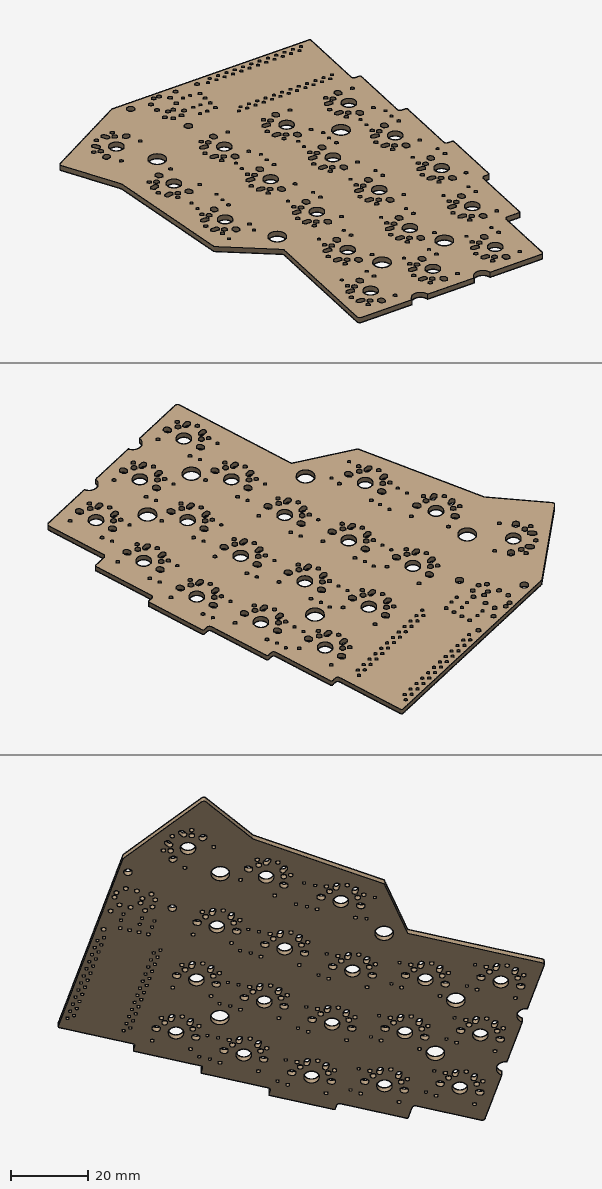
import cadquery as cq
import math

PLATE_LENGTH = 114.8
PLATE_WIDTH = 92.1
PLATE_THICKNESS = 1.6
CORNER_RADIUS = 0.8
SMALL_CORNER_RADIUS = 0.3

KEY_PITCH = 18.9
ROW_COUNT = 3
FIRST_COLUMN_X = 29.8
TOP_MARGIN = 9.1
STEP_MARGIN = 9.0
SHOULDER_DROP = 7.1
COLUMN_STEPS_DOWN = [2, 1, 0, 1, 3]
LOWEST_STEP = max(COLUMN_STEPS_DOWN)
STAGGER = SHOULDER_DROP / LOWEST_STEP
THUMB_KEYS = [(15.1, 16.8, -60), (37.3, 20.5, 15), (58.2, 23.2, 0)]

LOWER_EDGE_Y = 28.8
LOWER_EDGE_START_X = 77.8
THUMB_EDGE_RIGHT = (67.2, 14.2)
THUMB_EDGE_LEFT_X = 30.4
TIP_X = 14.5
TIP_ANGLE = 30

STEM_DIAMETER = 4.0
PEG_INNER = 4.2
PEG_OUTER = 6.4
PEG_WIDTH = 1.8
LATCH_DIAMETER = 1.0
LATCH_POSITION = (5.2, 4.2)
PIN_DIAMETER = 1.1
CENTRE_PIN_Y = -5.9
SIDE_PIN_POSITION = (5.0, -3.9)
UPPER_PIN_DIAMETER = 1.5
UPPER_PIN_POSITION = (3.8, -2.5)
LEAD_SLOT_LENGTH = 2.4
LEAD_SLOT_WIDTH = 1.5
LEAD_SLOT_POSITION = (2.5, -4.6)

LEAD_DIAMETER = 0.81
DIODE_SPAN = 7.6
DIODE_OFFSET = 8.0
THUMB_DIODES = [(47.3, 23.5), (50.3, 23.5), (66.2, 23.2)]

HEADER_PINS = 12
HEADER_PITCH = 2.5
HEADER_TOP_Y = 81.4
HEADER_COLUMNS_X = [1.5, 16.6]
INTERLEAVE_SHIFT = 1.4

DISPLAY_DIAMETER = 1.0
DISPLAY_START = (6.0, 47.9)
DISPLAY_PINS = 4
RESET_COLUMNS_X = [5.4, 10.4, 13.8]
RESET_ROWS_Y = [45.2, 43.0]
JACK_DIAMETER = 1.3
JACK_COLUMNS_X = [3.5, 6.5, 10.4]
JACK_ROWS_Y = [40.3, 34.4]
JACK_SIDE_PINS = [(11.9, 38.5), (11.9, 36.0), (1.6, 38.1), (1.6, 36.5), (8.6, 38.1), (8.6, 36.5)]
BATTERY_PINS = [(2.0, 49.5), (2.0, 42.9)]
LOCATOR_DIAMETER = 2.2
LOCATORS = [(17.0, 37.5), (2.5, 28.9)]

MOUNT_DIAMETER = 4.8
LEFT_MOUNTS = [(39.2, 70.1), (72.0, 30.5), (25.6, 22.7)]
SIDE_MOUNT_X = 96.2
SIDE_MOUNT_TOP_Y = 66.3

SIDES = (-1, 1)


def column_x(column):
    return FIRST_COLUMN_X + column * KEY_PITCH


def round_corners(plate, corners, radius):
    """Round the upright edges that stand on the given corner points."""
    for x, y in corners:
        middle = (x, y, PLATE_THICKNESS / 2)
        plate = plate.edges("|Z").edges(cq.selectors.NearestToPointSelector(middle)).fillet(radius)
    return plate


def make_plate():
    """Plate with a stepped top edge and a pointed thumb area."""
    def left_of(column):
        return column_x(column) - STEP_MARGIN

    def right_of(column):
        return column_x(column) + STEP_MARGIN

    def level(steps_down):
        return PLATE_WIDTH - steps_down * STAGGER

    slope = math.radians(TIP_ANGLE)
    tip_y = CORNER_RADIUS * (1 - math.cos(slope) - math.sin(slope))
    thumb_edge_left_y = tip_y + (THUMB_EDGE_LEFT_X - TIP_X) * math.tan(slope)
    left_edge_bottom_y = tip_y + TIP_X / math.tan(slope)
    inner_corners = [
        (left_of(0), level(LOWEST_STEP)),
        (left_of(1), level(2)),
        (left_of(2), level(1)),
        (right_of(2), level(1)),
        (right_of(3), level(LOWEST_STEP)),
    ]
    right_corners = [(PLATE_LENGTH, level(LOWEST_STEP)), (PLATE_LENGTH, LOWER_EDGE_Y)]
    tip = (TIP_X, tip_y)
    outline = [
        (0, level(LOWEST_STEP)),
        inner_corners[0],
        (left_of(0), level(2)),
        inner_corners[1],
        (left_of(1), level(1)),
        inner_corners[2],
        (left_of(2), level(0)),
        (right_of(2), level(0)),
        inner_corners[3],
        (right_of(3), level(1)),
        inner_corners[4],
        *right_corners,
        (LOWER_EDGE_START_X, LOWER_EDGE_Y),
        THUMB_EDGE_RIGHT,
        (THUMB_EDGE_LEFT_X, thumb_edge_left_y),
        tip,
        (0, left_edge_bottom_y),
    ]
    wide_corners = inner_corners + right_corners + [tip]
    small_corners = [corner for corner in outline if corner not in wide_corners]
    plate = cq.Workplane("XY").polyline(outline).close().extrude(PLATE_THICKNESS)
    plate = round_corners(plate, wide_corners, CORNER_RADIUS)
    return round_corners(plate, small_corners, SMALL_CORNER_RADIUS)


def key_y(column, row):
    top_key_y = PLATE_WIDTH - TOP_MARGIN - COLUMN_STEPS_DOWN[column] * STAGGER
    return top_key_y - row * KEY_PITCH


def key_places():
    """All keys as (x, y, turn)."""
    places = list(THUMB_KEYS)
    for column in range(len(COLUMN_STEPS_DOWN)):
        for row in range(ROW_COUNT):
            places.append((column_x(column), key_y(column, row), 0))
    return places


def on_key(key, x, y):
    """Point (x, y) of a key footprint, moved and turned onto the plate."""
    key_x, key_centre_y, turn = key
    cosine = math.cos(math.radians(turn))
    sine = math.sin(math.radians(turn))
    return (key_x + x * cosine - y * sine, key_centre_y + x * sine + y * cosine)


def drill(plate, diameter, points):
    holes = cq.Workplane("XY").pushPoints(points).circle(diameter / 2).extrude(PLATE_THICKNESS)
    return plate.cut(holes)


def drill_keys(plate, diameter, position):
    """Drill a mirrored pair of holes in every key."""
    x, y = position
    return drill(plate, diameter, [on_key(key, side * x, y) for key in key_places() for side in SIDES])


def slot_keys(plate, length, width, position, direction):
    """Cut a mirrored pair of slots in every key."""
    x, y = position
    for key in key_places():
        points = [on_key(key, side * x, y) for side in SIDES]
        slots = cq.Workplane("XY").pushPoints(points).slot2D(length, width, key[2] + direction)
        plate = plate.cut(slots.extrude(PLATE_THICKNESS))
    return plate


def cut_keys(plate):
    plate = drill(plate, STEM_DIAMETER, [on_key(key, 0, 0) for key in key_places()])
    plate = drill(plate, PIN_DIAMETER, [on_key(key, 0, CENTRE_PIN_Y) for key in key_places()])
    plate = drill_keys(plate, LATCH_DIAMETER, LATCH_POSITION)
    plate = drill_keys(plate, PIN_DIAMETER, SIDE_PIN_POSITION)
    plate = drill_keys(plate, UPPER_PIN_DIAMETER, UPPER_PIN_POSITION)
    peg_centre = ((PEG_INNER + PEG_OUTER) / 2, 0)
    plate = slot_keys(plate, PEG_OUTER - PEG_INNER, PEG_WIDTH, peg_centre, 0)
    return slot_keys(plate, LEAD_SLOT_LENGTH, LEAD_SLOT_WIDTH, LEAD_SLOT_POSITION, 90)


def cut_diodes(plate):
    centres = list(THUMB_DIODES)
    for row in range(ROW_COUNT):
        centres.append((column_x(0) + DIODE_OFFSET, key_y(1, row)))
        for column in range(1, len(COLUMN_STEPS_DOWN)):
            centres.append((column_x(column) - DIODE_OFFSET, key_y(column, row)))
    leads = [(x, y + side * DIODE_SPAN / 2) for x, y in centres for side in SIDES]
    return drill(plate, LEAD_DIAMETER, leads)


def cut_controller(plate):
    pins = []
    for x in HEADER_COLUMNS_X:
        for number in range(HEADER_PINS):
            y = HEADER_TOP_Y - number * HEADER_PITCH
            pins.append((x, y))
            pins.append((x + INTERLEAVE_SHIFT, y - INTERLEAVE_SHIFT))
    pins += [(x, y) for x in RESET_COLUMNS_X for y in RESET_ROWS_Y]
    plate = drill(plate, LEAD_DIAMETER, pins)
    display_x, display_y = DISPLAY_START
    display = [(display_x + number * HEADER_PITCH, display_y) for number in range(DISPLAY_PINS)]
    plate = drill(plate, DISPLAY_DIAMETER, display)
    jack = [(x, y) for x in JACK_COLUMNS_X for y in JACK_ROWS_Y]
    plate = drill(plate, JACK_DIAMETER, jack + JACK_SIDE_PINS + BATTERY_PINS)
    return drill(plate, LOCATOR_DIAMETER, LOCATORS)


def cut_mounts(plate):
    mounts = list(LEFT_MOUNTS)
    for across in range(2):
        for down in range(2):
            mounts.append((SIDE_MOUNT_X + across * KEY_PITCH, SIDE_MOUNT_TOP_Y - down * KEY_PITCH))
    return drill(plate, MOUNT_DIAMETER, mounts)


plate = make_plate()
plate = cut_keys(plate)
plate = cut_diodes(plate)
plate = cut_controller(plate)
result = cut_mounts(plate)